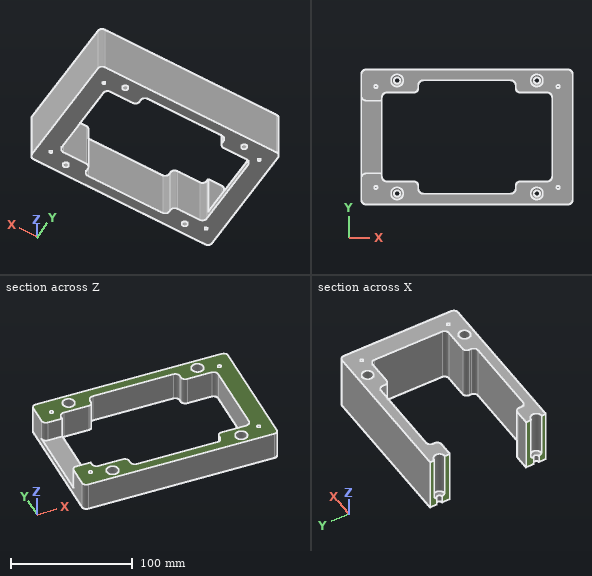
import cadquery as cq

LENGTH = 174.2
WIDTH = 111.2
HEIGHT = 52.0

EDGE_RADIUS = 4.0

OPENING_LENGTH = 140.0
OPENING_WIDTH = 73.0
BAY_LENGTH = 80.0
BAY_WIDTH = 93.0

GAP_WIDTH = 60.0
SILL_HEIGHT = 7.0
GAP_DEPTH = 20.0

SCREW_SPACING_X = 115.0
SCREW_SPACING_Y = 93.0
SCREW_HOLE_DIAMETER = 5.0
SCREW_HEAD_DIAMETER = 10.0
SCREW_SEAT_HEIGHT = 7.0
SCREW_TAPER_HEIGHT = (SCREW_HEAD_DIAMETER - SCREW_HOLE_DIAMETER) / 2

PILOT_SPACING_X = 150.0
PILOT_SPACING_Y = 83.0
PILOT_DIAMETER = 2.5


def make_block():
    block = cq.Workplane("XY").box(LENGTH, WIDTH, HEIGHT, centered=(True, True, False))
    return block.edges("|Z").fillet(EDGE_RADIUS)


def vertical_edges_at(half_x, half_y):
    """Selector for the upright edges at the four mirrored (x, y) positions."""
    tolerance = 0.1
    selector = None
    for x in (-half_x, half_x):
        for y in (-half_y, half_y):
            box = cq.selectors.BoxSelector(
                (x - tolerance, y - tolerance, -tolerance),
                (x + tolerance, y + tolerance, HEIGHT + tolerance),
            )
            selector = box if selector is None else selector + box
    return selector


def make_opening():
    centered = (True, True, False)
    opening = cq.Workplane("XY").box(OPENING_LENGTH, OPENING_WIDTH, HEIGHT, centered=centered)
    bay = cq.Workplane("XY").box(BAY_LENGTH, BAY_WIDTH, HEIGHT, centered=centered)
    opening = opening.union(bay)
    corners = (
        (OPENING_LENGTH, OPENING_WIDTH),
        (BAY_LENGTH, BAY_WIDTH),
        (BAY_LENGTH, OPENING_WIDTH),
    )
    for length, width in corners:
        opening = opening.edges(vertical_edges_at(length / 2, width / 2)).fillet(EDGE_RADIUS)
    return opening


def make_end_gap():
    """Gap cutter that flares in quarter arcs at both ends.

    It starts at the outer face and ends inside the opening, so the wall keeps all
    of the outer arcs but only the beginning of the inner ones.
    """
    outer_x = -LENGTH / 2
    inner_x = outer_x + GAP_DEPTH
    outer_arc_x = outer_x + EDGE_RADIUS
    inner_arc_x = inner_x - EDGE_RADIUS
    half_gap = GAP_WIDTH / 2
    half_mouth = half_gap + EDGE_RADIUS
    return (
        cq.Workplane("XY", origin=(0, 0, SILL_HEIGHT))
        .moveTo(inner_x, -half_mouth)
        .lineTo(inner_x, half_mouth)
        .radiusArc((inner_arc_x, half_gap), EDGE_RADIUS)
        .lineTo(outer_arc_x, half_gap)
        .radiusArc((outer_x, half_mouth), EDGE_RADIUS)
        .lineTo(outer_x, -half_mouth)
        .radiusArc((outer_arc_x, -half_gap), EDGE_RADIUS)
        .lineTo(inner_arc_x, -half_gap)
        .radiusArc((inner_x, -half_mouth), EDGE_RADIUS)
        .close()
        .extrude(HEIGHT - SILL_HEIGHT)
    )


def make_screw_holes():
    head_radius = SCREW_HEAD_DIAMETER / 2
    hole_radius = SCREW_HOLE_DIAMETER / 2
    profile = (
        cq.Workplane("XZ")
        .moveTo(0, 0)
        .lineTo(hole_radius, 0)
        .lineTo(hole_radius, SCREW_SEAT_HEIGHT)
        .lineTo(head_radius, SCREW_SEAT_HEIGHT + SCREW_TAPER_HEIGHT)
        .lineTo(head_radius, HEIGHT)
        .lineTo(0, HEIGHT)
        .close()
    )
    cutter = profile.revolve(360, (0, 0, 0), (0, 1, 0)).val()
    positions = cq.Workplane("XY").rarray(SCREW_SPACING_X, SCREW_SPACING_Y, 2, 2)
    return positions.eachpoint(lambda location: cutter.moved(location))


def make_pilot_holes():
    positions = cq.Workplane("XY").rarray(PILOT_SPACING_X, PILOT_SPACING_Y, 2, 2)
    return positions.circle(PILOT_DIAMETER / 2).extrude(HEIGHT)


result = make_block()
for cutter in (make_opening(), make_end_gap(), make_screw_holes(), make_pilot_holes()):
    result = result.cut(cutter)